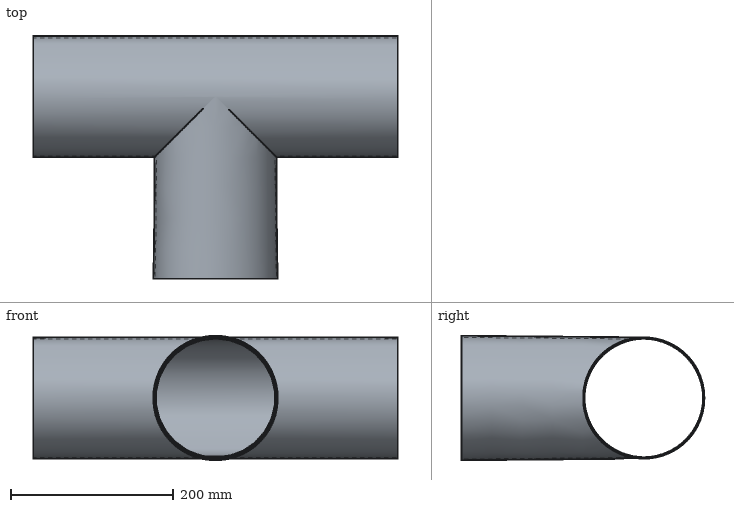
import cadquery as cq

run_length = 450.0
run_radius = 75.0
wall = 2.0

branch_length = 225.0
branch_root_radius = run_radius
branch_end_radius = 77.0


def run_cylinder(radius):
    """Solid cylinder along X over the full length of the run."""
    return cq.Workplane("YZ").circle(radius).extrude(run_length / 2, both=True)


def branch_cone(root_radius, end_radius):
    """Solid cone along -Y from the run axis to the branch end."""
    profile = [
        (0, 0),
        (0, root_radius),
        (-branch_length, end_radius),
        (-branch_length, 0),
    ]
    return cq.Workplane("YZ").polyline(profile).close().revolve(360, (0, 0), (1, 0))


def tee_solid(inset):
    """Run and branch joined as one solid body, inset from the outer surface."""
    run = run_cylinder(run_radius - inset)
    branch = branch_cone(branch_root_radius - inset, branch_end_radius - inset)
    return run.union(branch)


result = tee_solid(0).cut(tee_solid(wall))